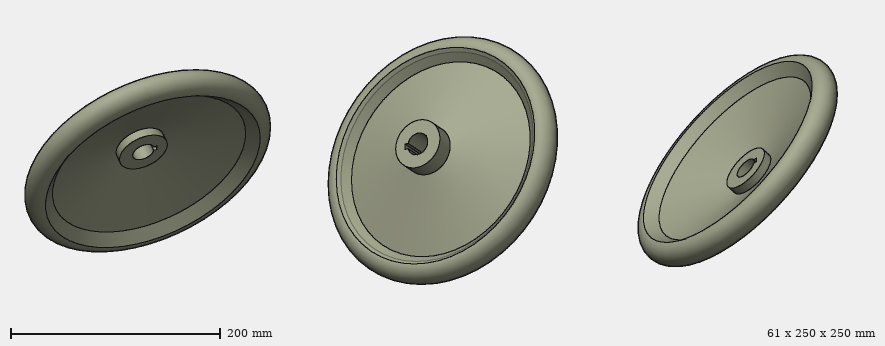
import cadquery as cq
import math

overall_length = 61.0
wheel_radius = 125.0
rim_width = 27.7
rim_arc_radius = rim_width / 2
rim_middle = overall_length - rim_arc_radius
rim_arc_center_radius = wheel_radius - rim_arc_radius

hub_radius = 49.0 / 2
hub_length = 36.0
bore_radius = 11.0
keyway_width = 5.5
keyway_reach = 14.0

web_front_at_hub = 19.5
web_slope = 0.32
web_thickness = 7.5

wall_mouth_radius = 110.0
wall_break_radius = 106.5
wall_break_x = 36.0
wall_foot_radius = 99.0

mouth_half_width = math.sqrt(rim_arc_radius**2 - (rim_arc_center_radius - wall_mouth_radius)**2)
mouth_front = rim_middle - mouth_half_width
mouth_back = rim_middle + mouth_half_width


def web_front(radius):
    """Axial position of the front web surface at a given radius."""
    return web_front_at_hub + web_slope * (radius - hub_radius)


def web_back(radius):
    """Axial position of the back web surface at a given radius."""
    return web_front(radius) + web_thickness


def make_wheel():
    """Hub, web and round rim as one revolved section."""
    section = (
        cq.Workplane("XY")
        .moveTo(0, 0)
        .lineTo(0, hub_radius)
        .lineTo(web_front_at_hub, hub_radius)
        .lineTo(web_front(wall_foot_radius), wall_foot_radius)
        .lineTo(wall_break_x, wall_break_radius)
        .lineTo(mouth_front, wall_mouth_radius)
        .threePointArc((rim_middle, wheel_radius), (mouth_back, wall_mouth_radius))
        .lineTo(web_back(wall_foot_radius), wall_foot_radius)
        .lineTo(web_back(hub_radius), hub_radius)
        .lineTo(hub_length, hub_radius)
        .lineTo(hub_length, 0)
        .close()
    )
    return section.revolve(360, (0, 0, 0), (1, 0, 0))


def make_keyed_bore():
    """Through bore with a keyway on the +Y side."""
    bore = cq.Workplane("YZ").circle(bore_radius).extrude(hub_length)
    keyway = (
        cq.Workplane("YZ")
        .center(keyway_reach / 2, 0)
        .rect(keyway_reach, keyway_width)
        .extrude(hub_length)
    )
    return bore.union(keyway)


result = make_wheel().cut(make_keyed_bore())